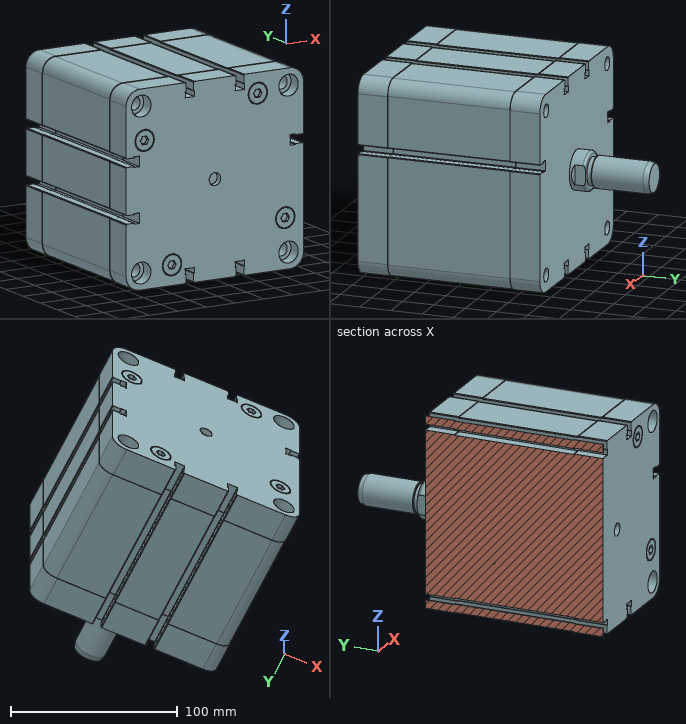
import cadquery as cq
import math


overall_length = 166.5
cap_width = 124.0
barrel_width = 123.4
housing_length = 116.7
cap_length = 19.1
cap_corner_radius = 9.5
barrel_corner_radius = 8.8

slot_offset = 17.5
slot_mouth_width = 5.3
slot_lip_depth = 5.8
slot_inner_width = 6.5
slot_depth = 9.3
slot_edge_chamfer = 0.5

mount_offset = 51.5
mount_hole_diameter = 8.3
mount_bore_diameter = 13.5
mount_bore_depth = 8.5

screw_near_offset = 30.0
screw_far_offset = 49.1
screw_recess_diameter = 13.5
screw_head_diameter = 12.5
screw_recess_depth = 5.0
socket_across_flats = 5.0
socket_depth = 2.3

centre_hole_diameter = 8.0
centre_hole_depth = 4.0

rod_diameter = 25.0
rod_end = 126.5
rod_end_fillet = 1.7
flat_spacing = 21.6
flat_start = 119.7
neck_diameter = 17.8
thread_start = 129.5
thread_diameter = 20.0
thread_tip_chamfer_length = 3.5
thread_tip_chamfer_depth = 1.0
thread_root_chamfer = 0.5


def cylinder(diameter, length, x=0.0, z=0.0):
    """Cylinder running along +Y from the closed end face."""
    return cq.Workplane("XZ").center(x, z).circle(diameter / 2).extrude(-length)


def sensor_slot(across, side_angle, start, length, width):
    """T-slot in the +Z side at x = across, then turned about Y by side_angle."""
    mouth = slot_mouth_width / 2
    inner = slot_inner_width / 2
    face_z = width / 2
    lip_z = face_z - slot_lip_depth
    floor_z = face_z - slot_depth
    half_outline = [
        (mouth + slot_edge_chamfer, face_z),
        (mouth, face_z - slot_edge_chamfer),
        (mouth, lip_z),
        (inner, lip_z),
        (inner, floor_z),
    ]
    mirrored = [(-x, z) for x, z in reversed(half_outline)]
    outline = [(across + x, z) for x, z in half_outline + mirrored]
    slot = cq.Workplane("XZ", origin=(0, start, 0)).polyline(outline).close().extrude(-length)
    return slot.rotate((0, 0, 0), (0, 1, 0), side_angle)


def housing_section(start, length, width, corner_radius):
    """Square block with rounded long edges and sensor slots, running along +Y from y = start."""
    section = (
        cq.Workplane("XY")
        .box(width, length, width)
        .edges("|Y")
        .fillet(corner_radius)
        .translate((0, start + length / 2, 0))
    )
    top, plus_x, bottom, minus_x = 0, 90, 180, 270
    for side_angle in (top, bottom, minus_x):
        for across in (-slot_offset, slot_offset):
            section = section.cut(sensor_slot(across, side_angle, start, length, width))
    return section.cut(sensor_slot(-slot_offset, plus_x, start, length, width))


def make_housing():
    """Barrel between two caps that stand slightly proud of it."""
    barrel_length = housing_length - 2 * cap_length
    front_cap_start = housing_length - cap_length
    rear_cap = housing_section(0, cap_length, cap_width, cap_corner_radius)
    barrel = housing_section(cap_length, barrel_length, barrel_width, barrel_corner_radius)
    front_cap = housing_section(front_cap_start, cap_length, cap_width, cap_corner_radius)
    return rear_cap.union(barrel).union(front_cap)


def cut_mounting_holes(body):
    for x in (-mount_offset, mount_offset):
        for z in (-mount_offset, mount_offset):
            body = body.cut(cylinder(mount_hole_diameter, housing_length, x, z))
            body = body.cut(cylinder(mount_bore_diameter, mount_bore_depth, x, z))
    return body


def cut_cap_screws(body):
    positions = [
        (screw_near_offset, screw_far_offset),
        (screw_far_offset, -screw_near_offset),
        (-screw_near_offset, -screw_far_offset),
        (-screw_far_offset, screw_near_offset),
    ]
    socket_across_corners = socket_across_flats / math.cos(math.pi / 6)
    for x, z in positions:
        recess = cylinder(screw_recess_diameter, screw_recess_depth, x, z)
        head = cylinder(screw_head_diameter, screw_recess_depth, x, z)
        socket = cq.Workplane("XZ").center(x, z).polygon(6, socket_across_corners).extrude(-socket_depth)
        body = body.cut(recess.cut(head)).cut(socket)
    return body


def make_rod():
    """Turned rod with two wrench flats, a relief neck and a threaded end."""
    rod_radius = rod_diameter / 2
    neck_radius = neck_diameter / 2
    thread_radius = thread_diameter / 2
    fillet_mid = rod_end_fillet * (1 - math.sin(math.pi / 4))
    profile = (
        cq.Workplane("XY")
        .moveTo(0, housing_length)
        .lineTo(rod_radius, housing_length)
        .lineTo(rod_radius, rod_end - rod_end_fillet)
        .threePointArc(
            (rod_radius - fillet_mid, rod_end - fillet_mid),
            (rod_radius - rod_end_fillet, rod_end),
        )
        .lineTo(neck_radius, rod_end)
        .lineTo(neck_radius, thread_start)
        .lineTo(thread_radius - thread_root_chamfer, thread_start)
        .lineTo(thread_radius, thread_start + thread_root_chamfer)
        .lineTo(thread_radius, overall_length - thread_tip_chamfer_length)
        .lineTo(thread_radius - thread_tip_chamfer_depth, overall_length)
        .lineTo(0, overall_length)
        .close()
    )
    rod = profile.revolve(360, (0, 0, 0), (0, 1, 0))

    flat_x = flat_spacing / 2
    ramp = rod_radius - flat_x
    flat_outline = [
        (flat_x, rod_end),
        (flat_x, flat_start),
        (rod_radius, flat_start - ramp),
        (rod_radius, rod_end),
    ]
    flat_cut = cq.Workplane("XY").polyline(flat_outline).close().extrude(rod_radius, both=True)
    return rod.cut(flat_cut).cut(flat_cut.mirror("YZ"))


housing = make_housing()
housing = cut_mounting_holes(housing)
housing = cut_cap_screws(housing)
housing = housing.cut(cylinder(centre_hole_diameter, centre_hole_depth))

result = housing.union(make_rod())